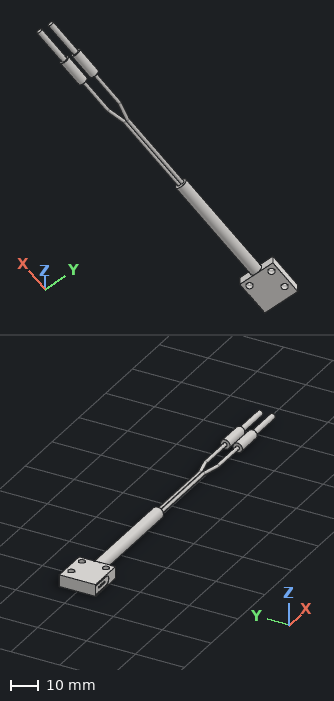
import cadquery as cq
import math

head_side = 15.0
head_thick = 5.0

hole_dia = 2.5
hole_inset = 2.5
offset_hole_x = 4.5

window_length = 9.9
window_height = 3.7
window_depth = 0.07
slit_start = 2.7
slit_length = 4.4
slit_height = 0.5
slit_depth = 0.4

total_length = 141.0
sheath_dia = 5.0
sheath_end = 59.9
wire_dia = 1.5
wire_offset = 0.7
fork_start = 92.6
fork_end = 100.0
branch_offset = 2.5

sleeve_start = 114.9
sleeve_end = 126.0
sleeve_dia = 4.0
pin_dia = 2.4


def rod(start, end, diameter):
    """Round rod between two (x, y) points in the Z = 0 plane."""
    dx = end[0] - start[0]
    dy = end[1] - start[1]
    axis_plane = cq.Plane(origin=(start[0], start[1], 0), xDir=(0, 0, 1), normal=(dx, dy, 0))
    return cq.Workplane(axis_plane).circle(diameter / 2).extrude(math.hypot(dx, dy))


def front_face():
    """Workplane on the -Y face with local x along X, local y along Z, facing -Y."""
    return cq.Workplane("XZ", origin=(0, -head_side / 2, 0))


def make_head():
    head = cq.Workplane("XY").box(head_side, head_side, head_thick).translate((head_side / 2, 0, 0))

    hole_far_x = head_side - hole_inset
    hole_y = head_side / 2 - hole_inset
    hole_points = [(offset_hole_x, hole_y), (hole_far_x, hole_y), (hole_far_x, -hole_y)]
    holes = cq.Workplane("XY").pushPoints(hole_points).circle(hole_dia / 2).extrude(head_thick, both=True)

    half_height = window_height / 2
    window = (
        front_face()
        .moveTo(0, -half_height)
        .lineTo(window_length - half_height, -half_height)
        .threePointArc((window_length, 0), (window_length - half_height, half_height))
        .lineTo(0, half_height)
        .close()
        .extrude(-window_depth)
    )
    slit = (
        front_face()
        .center(slit_start + slit_length / 2, 0)
        .rect(slit_length, slit_height)
        .extrude(-(window_depth + slit_depth))
    )
    return head.cut(holes).cut(window).cut(slit)


def make_branch(side):
    """One wire with its sleeve and pin; side is +1 or -1 along Y."""
    inner_y = side * wire_offset
    outer_y = side * branch_offset
    path = [(head_side, inner_y), (fork_start, inner_y), (fork_end, outer_y), (sleeve_end, outer_y)]

    branch = rod((sleeve_start, outer_y), (sleeve_end, outer_y), sleeve_dia)
    branch = branch.union(rod((sleeve_start, outer_y), (total_length, outer_y), pin_dia))
    for start, end in zip(path, path[1:]):
        branch = branch.union(rod(start, end, wire_dia))
    for bend_x, bend_y in path[1:-1]:
        branch = branch.union(cq.Workplane("XY").sphere(wire_dia / 2).translate((bend_x, bend_y, 0)))
    return branch


sheath = rod((head_side / 2, 0), (sheath_end, 0), sheath_dia)
result = make_head().union(sheath)
for side in (1, -1):
    result = result.union(make_branch(side))